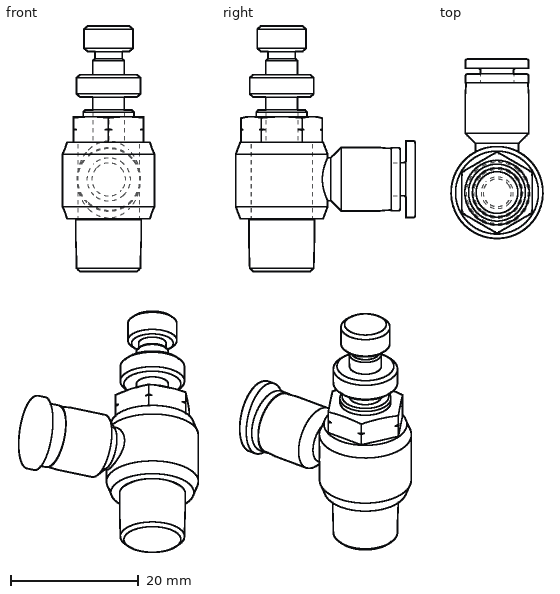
import cadquery as cq
import math

TOTAL_HEIGHT = 38.45

THREAD_RADIUS = 5.15
THREAD_END_RADIUS = 5.05
THREAD_TIP_CHAMFER_WIDTH = 0.58
THREAD_TIP_CHAMFER_HEIGHT = 0.55
THREAD_TAPER_TOP = 5.08
THREAD_SHOULDER_HEIGHT = 0.2
JOURNAL_RADIUS = 4.8
HEX_ACROSS_FLATS = 11.05
HEX_HEIGHT = 4.0
HEX_TOP_RADIUS = 5.4
HEX_CHAMFER_DROP = 0.23
GROOVE_ABOVE_HEX_BASE = 1.95
GROOVE_HEIGHT = 0.15
GROOVE_FLOOR_RADIUS = 6.1
COLLAR_RADIUS = 4.0
COLLAR_HEIGHT = 1.05
COLLAR_CHAMFER = 0.35

BARREL_BASE = 8.25
BARREL_HEIGHT = 12.0
BARREL_DIAMETER = 14.4
BARREL_END_RADIUS = 6.5
BARREL_TAPER_HEIGHT = 1.9
PORT_AXIS_HEIGHT = 14.45
PORT_NECK_RADIUS = 3.4
PORT_RADIUS = 5.0
PORT_CONE_START = 7.7
PORT_TAPER_START = 15.23
PORT_TAPER_END_RADIUS = 4.85
PORT_RIM_START = 17.2
PORT_RIM_RADIUS = 4.95
PORT_END = 18.57
PORT_RIM_FILLET = 0.35

BUTTON_FLANGE_START = 19.45
BUTTON_END = 20.9
BUTTON_WIDTH = 9.92
BUTTON_HEIGHT = 12.05
BUTTON_EDGE_FILLET = 0.35
BUTTON_STEM_RADIUS = 2.6
BUTTON_STEM_FILLET = 0.3

SHAFT_RADIUS = 2.5
SHAFT_TOP_CHAMFER = 0.3
SHAFT_TOP = 33.3
NECK_RADIUS = 2.15
KNOB_RADIUS = 3.85
KNOB_HEIGHT = 4.0
RING_RADIUS = 5.05
RING_BASE = 27.3
RING_HEIGHT = 3.55
DISC_CHAMFER_WIDTH = 0.58
DISC_CHAMFER_HEIGHT = 0.5

BARREL_RADIUS = BARREL_DIAMETER / 2
BARREL_TOP = BARREL_BASE + BARREL_HEIGHT
THREAD_TOP = BARREL_BASE - THREAD_SHOULDER_HEIGHT
HEX_TOP = BARREL_TOP + HEX_HEIGHT
HEX_CORNER_RADIUS = HEX_ACROSS_FLATS / math.sqrt(3)
COLLAR_TOP = HEX_TOP + COLLAR_HEIGHT
SHAFT_BASE = BARREL_TOP
PORT_CONE_END = PORT_CONE_START + PORT_RADIUS - PORT_NECK_RADIUS
BUTTON_STEM_START = PORT_RIM_START


def revolve_about_z(outline):
    """Turn a closed (radius, height) outline around the Z axis."""
    return cq.Workplane("YZ").polyline(outline).close().revolve(360, (0, 0), (0, 1))


def cylinder_along_z(radius, base, top):
    return cq.Workplane("XY").workplane(offset=base).circle(radius).extrude(top - base)


def port_plane(y):
    """Plane across the port axis at the given Y, with its normal along +Y."""
    return cq.Workplane(cq.Plane((0, y, PORT_AXIS_HEIGHT), (1, 0, 0), (0, 1, 0)))


def chamfered_disc(radius, base, height):
    """Disc with the same chamfer on its upper and lower edges."""
    top = base + height
    face_radius = radius - DISC_CHAMFER_WIDTH
    return revolve_about_z([
        (0, base),
        (face_radius, base),
        (radius, base + DISC_CHAMFER_HEIGHT),
        (radius, top - DISC_CHAMFER_HEIGHT),
        (face_radius, top),
        (0, top),
    ])


def make_hexagon():
    """Hexagon with corners on the Y axis, a chamfered top and a groove across its corners."""
    hexagon = (
        cq.Workplane("XY").workplane(offset=BARREL_TOP)
        .polygon(6, 2 * HEX_CORNER_RADIUS).extrude(HEX_HEIGHT)
        .rotate((0, 0, 0), (0, 0, 1), 30)
    )
    chamfer_envelope = revolve_about_z([
        (0, BARREL_TOP),
        (HEX_CORNER_RADIUS, BARREL_TOP),
        (HEX_CORNER_RADIUS, HEX_TOP - HEX_CHAMFER_DROP),
        (HEX_TOP_RADIUS, HEX_TOP),
        (0, HEX_TOP),
    ])
    groove_middle = BARREL_TOP + GROOVE_ABOVE_HEX_BASE
    groove = revolve_about_z([
        (GROOVE_FLOOR_RADIUS, groove_middle),
        (HEX_CORNER_RADIUS, groove_middle + GROOVE_HEIGHT / 2),
        (HEX_CORNER_RADIUS, groove_middle - GROOVE_HEIGHT / 2),
    ])
    return hexagon.intersect(chamfer_envelope).cut(groove)


def make_stud():
    thread_and_journal = revolve_about_z([
        (0, 0),
        (THREAD_END_RADIUS - THREAD_TIP_CHAMFER_WIDTH, 0),
        (THREAD_END_RADIUS, THREAD_TIP_CHAMFER_HEIGHT),
        (THREAD_RADIUS, THREAD_TAPER_TOP),
        (THREAD_RADIUS, THREAD_TOP),
        (JOURNAL_RADIUS, BARREL_BASE),
        (JOURNAL_RADIUS, BARREL_TOP),
        (0, BARREL_TOP),
    ])
    collar = cylinder_along_z(COLLAR_RADIUS, HEX_TOP, COLLAR_TOP).faces(">Z").chamfer(COLLAR_CHAMFER)
    shaft_hole = cylinder_along_z(SHAFT_RADIUS, SHAFT_BASE, COLLAR_TOP)
    return thread_and_journal.union(make_hexagon()).union(collar).cut(shaft_hole)


def make_port():
    """Tube port: neck, 45 degree cone, sleeve with a slight taper, and rounded rim."""
    outline = [
        (0, 0),
        (PORT_NECK_RADIUS, 0),
        (PORT_NECK_RADIUS, PORT_CONE_START),
        (PORT_RADIUS, PORT_CONE_END),
        (PORT_RADIUS, PORT_TAPER_START),
        (PORT_TAPER_END_RADIUS, PORT_RIM_START),
        (PORT_RIM_RADIUS, PORT_RIM_START),
        (PORT_RIM_RADIUS, PORT_END),
        (0, PORT_END),
    ]
    port = cq.Workplane("XY").polyline(outline).close().revolve(360, (0, 0), (0, 1))
    return port.faces(">Y").edges().fillet(PORT_RIM_FILLET).translate((0, 0, PORT_AXIS_HEIGHT))


def make_elbow():
    barrel = revolve_about_z([
        (0, BARREL_BASE),
        (BARREL_END_RADIUS, BARREL_BASE),
        (BARREL_RADIUS, BARREL_BASE + BARREL_TAPER_HEIGHT),
        (BARREL_RADIUS, BARREL_TOP - BARREL_TAPER_HEIGHT),
        (BARREL_END_RADIUS, BARREL_TOP),
        (0, BARREL_TOP),
    ])
    journal_bore = cylinder_along_z(JOURNAL_RADIUS, BARREL_BASE, BARREL_TOP)
    stem_hole = port_plane(BUTTON_STEM_START).circle(BUTTON_STEM_RADIUS).extrude(PORT_END - BUTTON_STEM_START)
    return barrel.union(make_port()).cut(journal_bore).cut(stem_hole)


def make_release_button():
    flange = (
        port_plane(BUTTON_FLANGE_START)
        .ellipse(BUTTON_WIDTH / 2, BUTTON_HEIGHT / 2)
        .extrude(BUTTON_END - BUTTON_FLANGE_START)
        .faces(">Y").edges().fillet(BUTTON_EDGE_FILLET)
    )
    stem = (
        port_plane(BUTTON_STEM_START)
        .circle(BUTTON_STEM_RADIUS)
        .extrude(BUTTON_FLANGE_START - BUTTON_STEM_START)
    )
    return flange.union(stem).edges("%CIRCLE").edges(">Y").fillet(BUTTON_STEM_FILLET)


def make_needle():
    knob_base = TOTAL_HEIGHT - KNOB_HEIGHT
    shaft = cylinder_along_z(SHAFT_RADIUS, SHAFT_BASE, SHAFT_TOP).faces(">Z").chamfer(SHAFT_TOP_CHAMFER)
    neck = cylinder_along_z(NECK_RADIUS, SHAFT_TOP, knob_base)
    knob = chamfered_disc(KNOB_RADIUS, knob_base, KNOB_HEIGHT)
    lock_ring = chamfered_disc(RING_RADIUS, RING_BASE, RING_HEIGHT)
    return shaft.union(neck).union(knob).union(lock_ring)


stud = make_stud()
elbow = make_elbow()
release_button = make_release_button()
needle = make_needle()

result = cq.Compound.makeCompound([
    stud.val(),
    elbow.val(),
    release_button.val(),
    needle.val(),
])